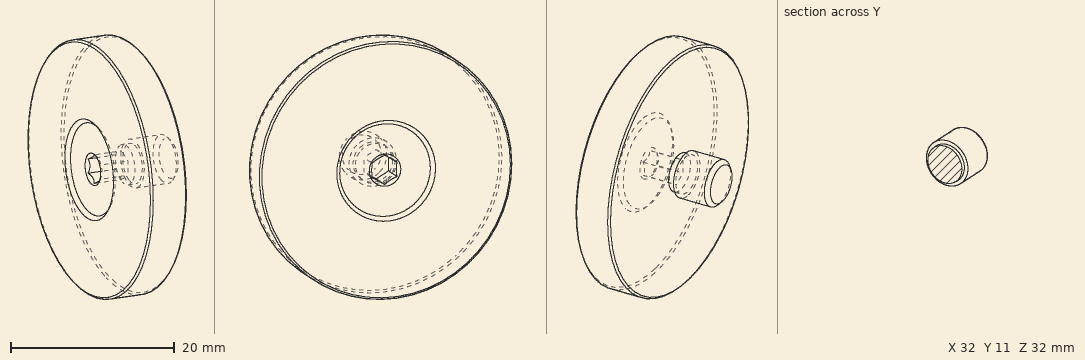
import cadquery as cq
import math

disc_diameter = 32.0
disc_thickness = 5.0
disc_chamfer = 0.25

overall_depth = 11.0
neck_diameter = 5.0
neck_length = 1.02
stud_diameter = 6.0
stud_chamfer = 0.55
stud_length = overall_depth - disc_thickness - neck_length

recess_mouth_diameter = 12.5
recess_depth = 0.5
recess_floor_diameter = recess_mouth_diameter - 2 * recess_depth

socket_across_flats = 3.15
socket_across_corners = socket_across_flats / math.cos(math.pi / 6)
socket_depth = 4.0
countersink_diameter = 4.0
countersink_depth = (countersink_diameter - socket_across_flats) / 2


def cylinder(diameter, start, length):
    """Solid cylinder along +Y, starting at Y = start."""
    plane = cq.Plane(origin=(0, start, 0), xDir=(1, 0, 0), normal=(0, 1, 0))
    return cq.Workplane(plane).circle(diameter / 2).extrude(length)


def cone(mouth_diameter, end_diameter, start, depth):
    """Solid truncated cone narrowing along +Y from its mouth at Y = start."""
    return cq.Workplane(
        cq.Solid.makeCone(
            mouth_diameter / 2,
            end_diameter / 2,
            depth,
            pnt=cq.Vector(0, start, 0),
            dir=cq.Vector(0, 1, 0),
        )
    )


def hexagon_socket():
    """Hexagonal prism with two corners on the Z direction."""
    plane = cq.Plane(origin=(0, recess_depth, 0), xDir=(0, 0, 1), normal=(0, 1, 0))
    return cq.Workplane(plane).polygon(6, socket_across_corners).extrude(socket_depth)


disc = cylinder(disc_diameter, 0, disc_thickness).edges().chamfer(disc_chamfer)
neck = cylinder(neck_diameter, disc_thickness, neck_length)
stud = cylinder(stud_diameter, disc_thickness + neck_length, stud_length)
stud = stud.faces(">Y").chamfer(stud_chamfer)

recess = cone(recess_mouth_diameter, recess_floor_diameter, 0, recess_depth)
countersink = cone(countersink_diameter, socket_across_flats, recess_depth, countersink_depth)

result = disc.union(neck).union(stud).cut(recess).cut(countersink).cut(hexagon_socket())